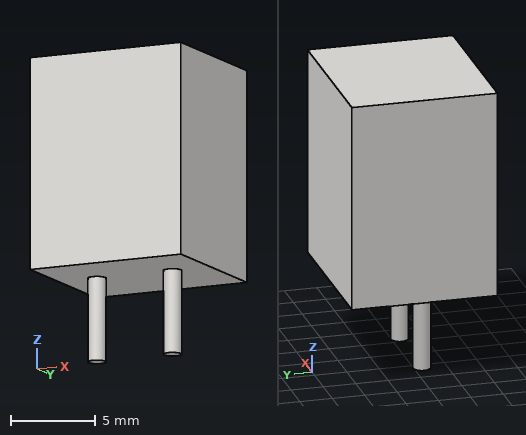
import cadquery as cq

housing_length = 10.0
housing_width = 9.0
housing_height = 12.9

overall_height = 18.0
pin_diameter = 1.1
pin_length = overall_height - housing_height
pin_spacing = 5.0
pin_offset_y = -0.5


def make_housing():
    """Plain block with its underside at Z = 0."""
    return cq.Workplane("XY").box(
        housing_length, housing_width, housing_height, centered=(True, True, False)
    )


def make_pin(x):
    """Straight pin hanging from the underside of the housing."""
    return (
        cq.Workplane("XY")
        .center(x, pin_offset_y)
        .circle(pin_diameter / 2)
        .extrude(-pin_length)
    )


housing = make_housing()
pins = [make_pin(side * pin_spacing / 2) for side in (-1, 1)]

result = cq.Compound.makeCompound([housing.val(), *(pin.val() for pin in pins)])